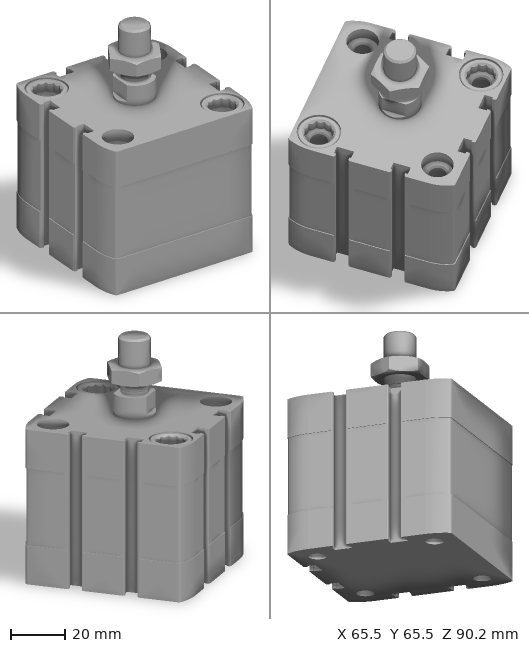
import cadquery as cq
import math


TOTAL_HEIGHT = 90.2
HOUSING_WIDTH = 65.5
HOUSING_HEIGHT = 60.0

END_CAP_HEIGHT = 15.1
BARREL_INSET = 0.32
SCREW_OFFSET = 23.3
CORNER_ARC_RADIUS = 20.0
CORNER_FILLET = 1.35

SLOT_OFFSET = 11.0
SLOT_INNER_SHIFT = 0.135
SLOT_MOUTH_WIDTH = 5.2
SLOT_INNER_WIDTH = 6.8
SLOT_DEPTH = 4.9
SLOT_LIP_THICKNESS = 1.6
SLOT_LIP_FILLET = 0.41

THREAD_CORE_DIAMETER = 6.7
COUNTERSINK_DIAMETER = 8.0
COUNTERBORE_DIAMETER = 12.0
COUNTERBORE_DEPTH = 5.0

HEAD_RECESS_DIAMETER = 16.4
HEAD_DIAMETER = 15.5
HEAD_TOP_DIAMETER = 15.0
HEAD_DROP = 0.3
HEAD_GAP_DEPTH = 1.0
SOCKET_ACROSS_FLATS = 10.0
SOCKET_BORE_DIAMETER = 10.6
SOCKET_DEPTH = 4.3
SOCKET_LEAD_IN_DIAMETER = 12.45

ROD_DIAMETER = 16.0
ROD_SHOULDER_HEIGHT = 8.3
ROD_FLAT_WIDTH = 13.0
ROD_FLAT_HEIGHT = 1.6
ROD_FLAT_SLOPE = 25.0
THREAD_DIAMETER = 12.0
THREAD_END_CHAMFER = 0.8
NECK_DIAMETER = 10.2
NECK_FILLET = 0.23
NECK_TOP_HEIGHT = 9.8
THREAD_START_HEIGHT = 12.2

NUT_ACROSS_FLATS = 18.9
NUT_HEIGHT = 5.95
NUT_BOTTOM_HEIGHT = 13.2
NUT_CHAMFER_SLOPE = 20.0

HEXAGON_HALF_ANGLE = 30
ROD_LENGTH = TOTAL_HEIGHT - HOUSING_HEIGHT
HALF_WIDTH = HOUSING_WIDTH / 2


def cone(top_diameter, bottom_diameter, top_z, depth):
    """Frustum on the Z axis, from top_z down by depth."""
    return (
        cq.Workplane("XY", origin=(0, 0, top_z))
        .circle(top_diameter / 2)
        .workplane(offset=-depth)
        .circle(bottom_diameter / 2)
        .loft()
    )


def cylinder(diameter, top_z, depth):
    """Cylinder on the Z axis, from top_z down by depth."""
    return cq.Workplane("XY", origin=(0, 0, top_z)).circle(diameter / 2).extrude(-depth)


def outline_block(half_width, bottom_z, height):
    """Block whose +Y and -Y faces fall away in a shallow arc at each corner."""
    arc_centre_y = half_width - CORNER_ARC_RADIUS
    run = half_width - SCREW_OFFSET
    side_y = arc_centre_y + math.sqrt(CORNER_ARC_RADIUS**2 - run**2)
    half_angle = math.asin(run / CORNER_ARC_RADIUS) / 2
    middle_x = SCREW_OFFSET + CORNER_ARC_RADIUS * math.sin(half_angle)
    middle_y = arc_centre_y + CORNER_ARC_RADIUS * math.cos(half_angle)
    return (
        cq.Workplane("XY", origin=(0, 0, bottom_z))
        .moveTo(-SCREW_OFFSET, half_width)
        .lineTo(SCREW_OFFSET, half_width)
        .threePointArc((middle_x, middle_y), (half_width, side_y))
        .lineTo(half_width, -side_y)
        .threePointArc((middle_x, -middle_y), (SCREW_OFFSET, -half_width))
        .lineTo(-SCREW_OFFSET, -half_width)
        .threePointArc((-middle_x, -middle_y), (-half_width, -side_y))
        .lineTo(-half_width, side_y)
        .threePointArc((-middle_x, middle_y), (-SCREW_OFFSET, half_width))
        .close()
        .extrude(height)
        .edges("|Z and (<X or >X)")
        .fillet(CORNER_FILLET)
    )


def slot_cutter(side):
    """T-slot along Z in the -Y face, to the left (side -1) or right (side 1) of the middle."""
    mouth = SLOT_MOUTH_WIDTH / 2
    inner_near = SLOT_INNER_WIDTH / 2 - SLOT_INNER_SHIFT
    inner_far = SLOT_INNER_WIDTH / 2 + SLOT_INNER_SHIFT
    flare = mouth + SLOT_LIP_FILLET
    face_y = -HALF_WIDTH
    lip_y = face_y + SLOT_LIP_THICKNESS
    floor_y = face_y + SLOT_DEPTH
    round_y = face_y + SLOT_LIP_FILLET
    slot = (
        cq.Workplane("XY")
        .moveTo(-flare, face_y)
        .radiusArc((-mouth, round_y), SLOT_LIP_FILLET)
        .lineTo(-mouth, lip_y)
        .lineTo(-inner_near, lip_y)
        .lineTo(-inner_near, floor_y)
        .lineTo(inner_far, floor_y)
        .lineTo(inner_far, lip_y)
        .lineTo(mouth, lip_y)
        .lineTo(mouth, round_y)
        .radiusArc((flare, face_y), SLOT_LIP_FILLET)
        .close()
        .extrude(HOUSING_HEIGHT)
        .translate((SLOT_OFFSET, 0, 0))
    )
    return slot if side > 0 else slot.mirror("YZ")


def threaded_hole(start_z):
    """Countersunk hole from start_z down through the housing."""
    countersink_depth = (COUNTERSINK_DIAMETER - THREAD_CORE_DIAMETER) / 2
    countersink = cone(COUNTERSINK_DIAMETER, THREAD_CORE_DIAMETER, start_z, countersink_depth)
    return cylinder(THREAD_CORE_DIAMETER, start_z, start_z).union(countersink)


def counterbored_cutter():
    """Counterbore with the threaded hole in its floor."""
    floor_z = HOUSING_HEIGHT - COUNTERBORE_DEPTH
    return cylinder(COUNTERBORE_DIAMETER, HOUSING_HEIGHT, COUNTERBORE_DEPTH).union(threaded_hole(floor_z))


def screw_head_cutter():
    """Space around a sunk screw head, its twelve-point socket and the threaded hole."""
    head_z = HOUSING_HEIGHT - HEAD_DROP
    chamfer = (HEAD_DIAMETER - HEAD_TOP_DIAMETER) / 2
    head = cylinder(HEAD_DIAMETER, head_z, HEAD_GAP_DEPTH).faces(">Z").chamfer(chamfer)
    gap = cylinder(HEAD_RECESS_DIAMETER, HOUSING_HEIGHT, HEAD_GAP_DEPTH).cut(head)

    lead_in_depth = (SOCKET_LEAD_IN_DIAMETER - SOCKET_ACROSS_FLATS) / 2
    lead_in = cone(SOCKET_LEAD_IN_DIAMETER, SOCKET_ACROSS_FLATS, head_z, lead_in_depth)
    socket = cylinder(SOCKET_BORE_DIAMETER, head_z, SOCKET_DEPTH)
    for turn in (0, HEXAGON_HALF_ANGLE):
        hexagon = (
            cq.Workplane("XY", origin=(0, 0, head_z))
            .polygon(6, SOCKET_ACROSS_FLATS, circumscribed=True)
            .extrude(-SOCKET_DEPTH)
            .rotate((0, 0, 0), (0, 0, 1), turn)
        )
        socket = socket.union(hexagon)
    return gap.union(lead_in).union(socket).union(threaded_hole(head_z - SOCKET_DEPTH))


def make_housing():
    housing = outline_block(HALF_WIDTH - BARREL_INSET, 0, HOUSING_HEIGHT)
    for cap_z in (0, HOUSING_HEIGHT - END_CAP_HEIGHT):
        housing = housing.union(outline_block(HALF_WIDTH, cap_z, END_CAP_HEIGHT))

    for turn in (0, -90, 180):
        for side in (-1, 1):
            housing = housing.cut(slot_cutter(side).rotate((0, 0, 0), (0, 0, 1), turn))

    for side in (-1, 1):
        x = side * SCREW_OFFSET
        housing = housing.cut(screw_head_cutter().translate((x, x, 0)))
        housing = housing.cut(counterbored_cutter().translate((x, -x, 0)))
    return housing


def make_rod():
    neck = NECK_DIAMETER / 2
    thread = THREAD_DIAMETER / 2
    fillet = NECK_FILLET
    rod = (
        cq.Workplane("XZ", origin=(0, 0, HOUSING_HEIGHT))
        .lineTo(ROD_DIAMETER / 2, 0)
        .lineTo(ROD_DIAMETER / 2, ROD_SHOULDER_HEIGHT)
        .lineTo(neck + fillet, ROD_SHOULDER_HEIGHT)
        .radiusArc((neck, ROD_SHOULDER_HEIGHT + fillet), fillet)
        .lineTo(neck, NECK_TOP_HEIGHT - fillet)
        .radiusArc((neck + fillet, NECK_TOP_HEIGHT), fillet)
        .lineTo(thread, THREAD_START_HEIGHT)
        .lineTo(thread, ROD_LENGTH - THREAD_END_CHAMFER)
        .lineTo(thread - THREAD_END_CHAMFER, ROD_LENGTH)
        .lineTo(0, ROD_LENGTH)
        .close()
        .revolve(360, (0, 0, 0), (0, 1, 0))
    )
    flat_y = ROD_FLAT_WIDTH / 2
    flat_depth = ROD_DIAMETER / 2 - flat_y
    run_out = flat_depth * math.tan(math.radians(ROD_FLAT_SLOPE))
    for side in (-1, 1):
        flat = (
            cq.Workplane("YZ", origin=(-ROD_DIAMETER / 2, 0, HOUSING_HEIGHT))
            .moveTo(side * flat_y, ROD_FLAT_HEIGHT)
            .lineTo(side * flat_y, ROD_SHOULDER_HEIGHT)
            .lineTo(side * ROD_DIAMETER / 2, ROD_SHOULDER_HEIGHT)
            .lineTo(side * ROD_DIAMETER / 2, ROD_FLAT_HEIGHT - run_out)
            .close()
            .extrude(ROD_DIAMETER)
        )
        rod = rod.cut(flat)
    return rod


def make_nut():
    bottom_z = HOUSING_HEIGHT + NUT_BOTTOM_HEIGHT
    across_corners = NUT_ACROSS_FLATS / math.cos(math.radians(HEXAGON_HALF_ANGLE))
    hexagon = (
        cq.Workplane("XY", origin=(0, 0, bottom_z))
        .polygon(6, across_corners)
        .extrude(NUT_HEIGHT)
        .rotate((0, 0, 0), (0, 0, 1), HEXAGON_HALF_ANGLE)
    )
    overhang = (across_corners - NUT_ACROSS_FLATS) / 2
    drop = overhang * math.tan(math.radians(NUT_CHAMFER_SLOPE))
    disc = (
        cylinder(across_corners, bottom_z + NUT_HEIGHT, NUT_HEIGHT)
        .faces("<Z or >Z")
        .chamfer(drop, overhang)
    )
    bore = cylinder(THREAD_DIAMETER, bottom_z + NUT_HEIGHT, NUT_HEIGHT)
    return hexagon.intersect(disc).cut(bore)


housing = make_housing()
rod = make_rod()
nut = make_nut()

result = cq.Compound.makeCompound([housing.val(), rod.val(), nut.val()])